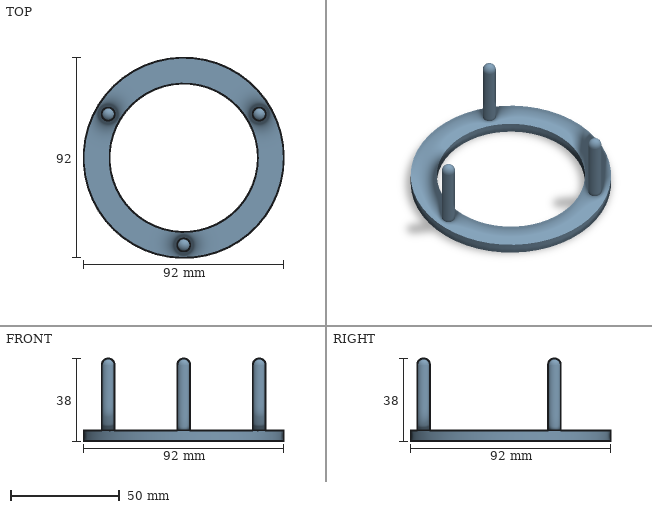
import cadquery as cq

ring_diameter = 92.0
bore_diameter = 68.0
ring_thickness = 5.0

total_height = 38.0
pin_diameter = 6.0
pin_count = 3
pin_circle_radius = ring_diameter / 2 - pin_diameter
first_pin_angle = -90

pin_radius = pin_diameter / 2
dome_base_height = total_height - pin_radius


def make_ring():
    return (
        cq.Workplane("XY")
        .circle(ring_diameter / 2)
        .circle(bore_diameter / 2)
        .extrude(ring_thickness)
    )


def make_pin():
    """Pin on the Z axis, rooted in the ring and ending in a hemisphere."""
    shaft = cq.Workplane("XY").circle(pin_radius).extrude(dome_base_height)
    dome = cq.Workplane("XY").sphere(pin_radius).translate((0, 0, dome_base_height))
    return shaft.union(dome)


result = make_ring()
first_pin = make_pin().translate((pin_circle_radius, 0, 0))
for index in range(pin_count):
    angle = first_pin_angle + index * 360 / pin_count
    result = result.union(first_pin.rotate((0, 0, 0), (0, 0, 1), angle))